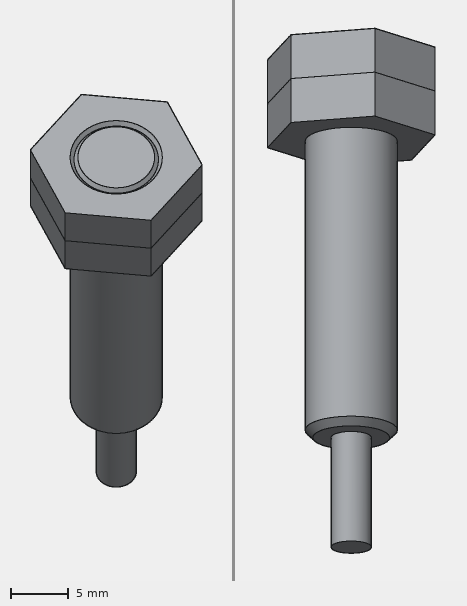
import cadquery as cq
import math

total_length = 45.0
pin_diameter = 3.5
pin_length = 10.0
stud_diameter = 8.0
chamfer_length = 0.68
nut_width = 13.0
nut_height = 4.0
nut_count = 2

stud_radius = stud_diameter / 2
stud_end_radius = stud_radius - chamfer_length
pin_radius = pin_diameter / 2
nut_corner_diameter = nut_width / math.cos(math.pi / 6)
hex_turn = 30


def make_stud():
    """Round stud chamfered at both ends, with a slim pin at its lower end."""
    return (
        cq.Workplane("XZ")
        .moveTo(0, 0)
        .lineTo(pin_radius, 0)
        .lineTo(pin_radius, pin_length)
        .lineTo(stud_end_radius, pin_length)
        .lineTo(stud_radius, pin_length + chamfer_length)
        .lineTo(stud_radius, total_length - chamfer_length)
        .lineTo(stud_end_radius, total_length)
        .lineTo(0, total_length)
        .close()
        .revolve(360, (0, 0, 0), (0, 1, 0))
    )


def make_countersink():
    """Cone that opens the top of the uppermost nut out to the stud diameter."""
    return (
        cq.Workplane("XZ")
        .moveTo(0, total_length)
        .lineTo(stud_radius, total_length)
        .lineTo(stud_end_radius, total_length - chamfer_length)
        .lineTo(0, total_length - chamfer_length)
        .close()
        .revolve(360, (0, 0, 0), (0, 1, 0))
    )


def make_nut(bottom, stud):
    """Hexagon nut whose bore fits closely around the stud."""
    blank = (
        cq.Workplane("XY", origin=(0, 0, bottom))
        .transformed(rotate=(0, 0, hex_turn))
        .polygon(6, nut_corner_diameter)
        .extrude(nut_height)
    )
    return blank.cut(stud)


stud = make_stud()

nuts = []
for level in range(nut_count):
    nut_bottom = total_length - (level + 1) * nut_height
    nuts.append(make_nut(nut_bottom, stud))

nuts[0] = nuts[0].cut(make_countersink())

result = cq.Compound.makeCompound([stud.val()] + [nut.solids().val() for nut in nuts])